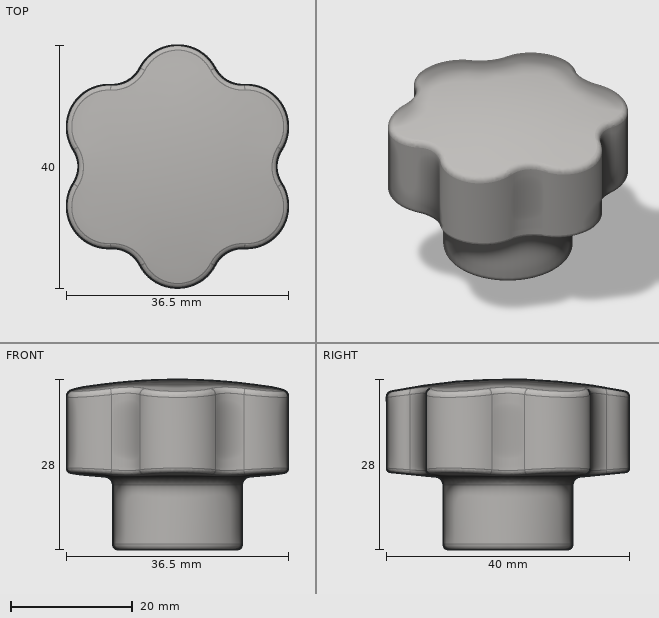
import cadquery as cq
import math

lobe_count = 6
outer_radius = 19.98
lobe_radius = 7.0
valley_radius = 5.0
lobe_center_radius = outer_radius - lobe_radius

total_height = 28.05
underside_apex_height = 11.55
crown_radius = 93.9
underside_radius = 159.85
upper_rim_fillet = 1.0
lower_rim_fillet = 0.75

hub_diameter = 21.3
hub_end_fillet = 0.95
hub_root_fillet = 1.3


def polar(radius, angle):
    """Point in the XY plane at a given radius and angle in degrees."""
    return (radius * math.cos(math.radians(angle)), radius * math.sin(math.radians(angle)))


def make_outline():
    """Closed wire of convex lobes joined by tangent concave valleys."""
    half_pitch = 180.0 / lobe_count
    first_lobe_angle = 90.0
    center_distance = lobe_radius + valley_radius
    lobe_offset_x, lobe_offset_y = polar(lobe_center_radius, half_pitch)
    valley_center_radius = lobe_offset_x + math.sqrt(center_distance**2 - lobe_offset_y**2)
    valley_floor_radius = valley_center_radius - valley_radius

    share = lobe_radius / center_distance
    tangent_x = lobe_offset_x + share * (valley_center_radius - lobe_offset_x)
    tangent_y = lobe_offset_y * (1 - share)
    tangent_radius = math.hypot(tangent_x, tangent_y)
    tangent_angle = half_pitch - math.degrees(math.atan2(tangent_y, tangent_x))

    outline = cq.Workplane("XY").moveTo(*polar(tangent_radius, first_lobe_angle - tangent_angle))
    for index in range(lobe_count):
        lobe_angle = first_lobe_angle + index * 2 * half_pitch
        valley_angle = lobe_angle + half_pitch
        next_start_angle = lobe_angle + 2 * half_pitch - tangent_angle
        outline = outline.threePointArc(
            polar(outer_radius, lobe_angle), polar(tangent_radius, lobe_angle + tangent_angle)
        )
        outline = outline.threePointArc(
            polar(valley_floor_radius, valley_angle), polar(tangent_radius, next_start_angle)
        )
    return outline.close()


def make_head():
    """Lobed prism bounded by a domed crown and a domed underside, with rounded rims."""
    crown = cq.Workplane("XZ").sphere(crown_radius).translate((0, 0, total_height - crown_radius))
    underside = cq.Workplane("XZ").sphere(underside_radius)
    underside = underside.translate((0, 0, underside_apex_height + underside_radius))
    head = make_outline().extrude(total_height).intersect(crown).intersect(underside)
    side_midheight = (underside_apex_height + total_height) / 2
    upper_rim = cq.selectors.BoxSelector(
        (-outer_radius, -outer_radius, side_midheight),
        (outer_radius, outer_radius, total_height),
    )
    head = head.edges("not |Z").edges(upper_rim).fillet(upper_rim_fillet)
    lower_rim = head.faces("<Z").edges()
    return lower_rim.fillet(lower_rim_fillet)


def make_hub():
    """Plain round hub that runs up into the head, with a rounded lower end."""
    hub_height = (underside_apex_height + total_height) / 2
    hub = cq.Workplane("XY").circle(hub_diameter / 2).extrude(hub_height)
    return hub.faces("<Z").edges().fillet(hub_end_fillet)


def round_hub_root(knob):
    """Blend the circular seam between the hub and the underside of the head."""
    hub_radius = hub_diameter / 2
    sagitta = underside_radius - math.sqrt(underside_radius**2 - hub_radius**2)
    seam_height = underside_apex_height + sagitta
    margin = 0.2
    reach = hub_radius + margin
    seam_box = cq.selectors.BoxSelector(
        (-reach, -reach, seam_height - margin),
        (reach, reach, seam_height + margin),
        boundingbox=True,
    )
    return knob.edges(seam_box).fillet(hub_root_fillet)


result = round_hub_root(make_head().union(make_hub()))